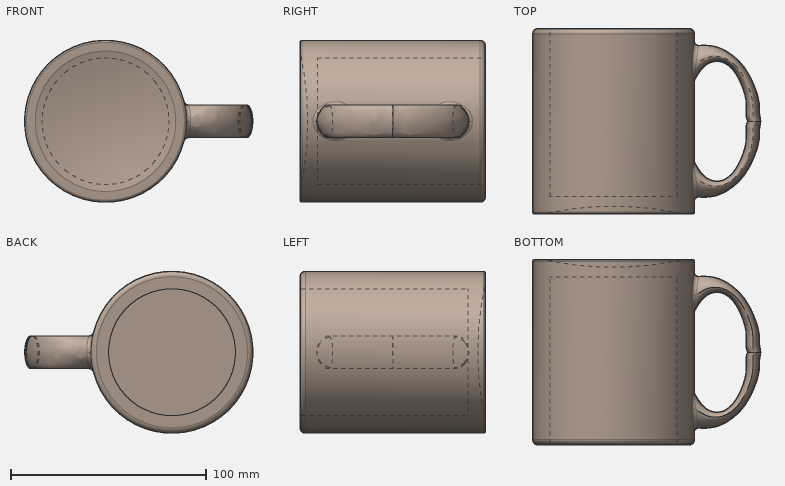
import cadquery as cq
import math

height = 95.0
body_diameter = 83.0
cavity_diameter = 65.0
wall = (body_diameter - cavity_diameter) / 2
floor = wall
rim_fillet = 2.75
base_fillet = 1.0

dish_diameter = 72.0
dish_depth = 4.0

handle_reach = 75.5
handle_mid_y = height / 2
handle_width = 16.9
outer_center_x = 46.5
outer_half_x = handle_reach - outer_center_x
outer_half_y = 39.0
grip_thickness = 6.75
inner_center_x = 53.0
inner_half_x = handle_reach - grip_thickness - inner_center_x
inner_half_y = 30.75
root_x = 38.5
section_count = 9
root_fillet = 2.0
root_margin = 1.0


def make_body():
    body = cq.Workplane("XZ").circle(body_diameter / 2).extrude(-height)
    body = body.faces(">Y").edges().fillet(rim_fillet)
    return body.faces("<Y").edges().fillet(base_fillet)


def make_dish():
    dish_radius = dish_diameter / 2
    sphere_radius = (dish_radius**2 + dish_depth**2) / (2 * dish_depth)
    return cq.Workplane("XY").sphere(sphere_radius).translate((0, dish_depth - sphere_radius, 0))


def make_cavity():
    bore = cq.Workplane("XZ", origin=(0, floor, 0)).circle(cavity_diameter / 2)
    return bore.extrude(floor - height)


def ellipse_point(center_x, half_x, half_y, angle):
    return cq.Vector(center_x + half_x * math.cos(angle), handle_mid_y + half_y * math.sin(angle), 0)


def handle_section(fraction):
    """Elliptical wire across the handle; fraction runs from 0 at mid grip to 1 at the root."""
    outer_angle = fraction * math.acos((root_x - outer_center_x) / outer_half_x)
    inner_angle = fraction * math.acos((root_x - inner_center_x) / inner_half_x)
    outer = ellipse_point(outer_center_x, outer_half_x, outer_half_y, outer_angle)
    inner = ellipse_point(inner_center_x, inner_half_x, inner_half_y, inner_angle)
    across = inner - outer
    normal = cq.Vector(0, 0, 1).cross(across)
    center = (outer + inner) * 0.5
    return cq.Wire.makeEllipse(across.Length / 2, handle_width / 2, center, normal, across)


def make_handle_halves():
    """Loft one half of the handle and mirror it about the middle of the grip."""
    sections = [handle_section(i / (section_count - 1)) for i in range(section_count)]
    upper_half = cq.Workplane(cq.Solid.makeLoft(sections))
    lower_half = upper_half.mirror("XZ", (0, handle_mid_y, 0))
    return upper_half, lower_half


def round_roots(mug):
    """Fillet the two closed edges where the handle meets the outside of the body."""
    body_radius = body_diameter / 2
    near_corner = (root_x, base_fillet + root_margin, -handle_width)
    far_corner = (body_radius + root_margin, height - rim_fillet - root_margin, handle_width)
    root_zone = cq.selectors.BoxSelector(near_corner, far_corner, boundingbox=True)
    return mug.edges(root_zone).fillet(root_fillet)


mug = make_body()
for half in make_handle_halves():
    mug = mug.union(half)
mug = round_roots(mug)
result = mug.cut(make_cavity()).cut(make_dish())